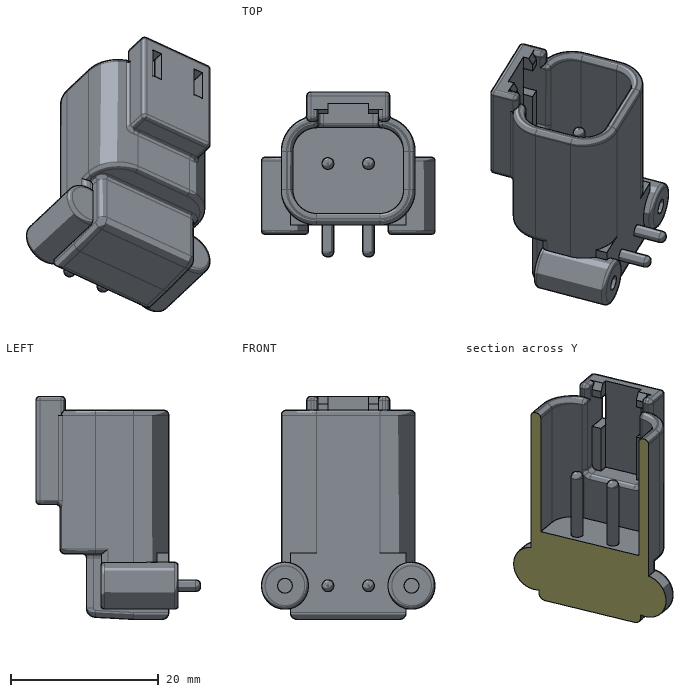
import cadquery as cq

EPS = 0.05
OVERLAP = 0.5

SHELL_WIDTH = 18.15
SHELL_DEPTH = 14.75
SHELL_RADIUS = 4.8
SHELL_TOP = 28.37
SHELL_BOTTOM = 8.9
WALL = 1.57
FLOOR_TOP = 10.5
RIM_RADIUS = 0.7
OVERHANG_RADIUS = 0.67
WEB_REAR = 9.15
WEB_RADIUS = 0.9

BASE_WIDTH = 15.7
BASE_DEPTH = 11.18
BASE_TOP = 9.0
BASE_RISE = 0.35
BASE_RADIUS = 0.95
BASE_REAR_RADIUS = 1.3
INNER_CORNER_RADIUS = 0.54

BOSS_DIAMETER = 6.37
BOSS_SPACING = 17.15
BOSS_FRONT = -1.27
BOSS_REAR = 9.2
BOSS_RADIUS = 0.5
BOSS_HOLE_DIAMETER = 2.0
BOSS_HOLE_DEPTH = 6.0
AXIS_HEIGHT = 4.58

PIN_DIAMETER = 1.6
PIN_PITCH = 5.5
PIN_TIP_RADIUS = 0.7
PIN_Y = 8.33
PIN_TIP_Y = -4.32
PIN_TOP = 20.0

HOOD_WIDTH = 11.27
HOOD_FRONT = 14.03
HOOD_REAR = 18.03
HOOD_TOP = 30.24
HOOD_BOTTOM = 15.58
HOOD_RADIUS = 0.58
HOOD_FOOT_RADIUS = 0.55
POCKET_WIDTH = 8.14
POCKET_FLOOR = HOOD_BOTTOM + WALL
POCKET_RADIUS = 0.69
MOUTH_RADIUS = 0.58
LEDGE_FRONT = 15.1
NOTCH_WIDTH = 5.44
NOTCH_REAR = 16.45
HOOK_REAR = 15.67
HOOK_SLOPE_HEIGHT = 1.03
WINDOW_BOTTOM = 23.6
WINDOW_TOP = 28.2

SHELL_MID_Y = SHELL_DEPTH / 2


def box(x_min, x_max, y_min, y_max, z_min, z_max):
    size = (x_max - x_min, y_max - y_min, z_max - z_min)
    return cq.Workplane("XY").box(*size, centered=False).translate((x_min, y_min, z_min))


def centred_box(width, y_min, y_max, z_min, z_max):
    return box(-width / 2, width / 2, y_min, y_max, z_min, z_max)


def rounded_prism(inset, z_min, z_max):
    """Upright prism with the shell outline moved inwards by inset."""
    return (
        cq.Workplane("XY", origin=(0, SHELL_MID_Y, z_min))
        .rect(SHELL_WIDTH - 2 * inset, SHELL_DEPTH - 2 * inset)
        .extrude(z_max - z_min)
        .edges("|Z")
        .fillet(SHELL_RADIUS - inset)
    )


def edges_within(x_min, x_max, y_min, y_max, z_min, z_max):
    """Selector for edges whose centre lies inside the given box."""
    return cq.selectors.BoxSelector((x_min, y_min, z_min), (x_max, y_max, z_max))


def make_shell():
    """Outer receptacle body, still solid, with its sides carried down to the bosses."""
    shell = rounded_prism(0, AXIS_HEIGHT, SHELL_TOP)
    shell = shell.cut(centred_box(2 * SHELL_WIDTH, WEB_REAR, 2 * SHELL_DEPTH, 0, SHELL_BOTTOM))
    web_corners = edges_within(
        -SHELL_WIDTH, SHELL_WIDTH, WEB_REAR - EPS, WEB_REAR + EPS, AXIS_HEIGHT, SHELL_BOTTOM
    )
    shell = shell.edges(web_corners).edges("|Z").fillet(WEB_RADIUS)
    overhang_rim = edges_within(
        -SHELL_WIDTH, SHELL_WIDTH, WEB_REAR + EPS, 2 * SHELL_DEPTH, SHELL_BOTTOM - EPS, SHELL_BOTTOM + EPS
    )
    return shell.edges(overhang_rim).fillet(OVERHANG_RADIUS)


def hollow_shell(shell):
    """Cut the receptacle cavity and round both edges of its rim."""
    shell = shell.cut(rounded_prism(WALL, FLOOR_TOP, SHELL_TOP))
    return shell.faces(">Z").edges().fillet(RIM_RADIUS)


def make_base():
    """Block under the shell, with a sloping underside and rounded rear and lower edges."""
    base = (
        cq.Workplane("YZ", origin=(-BASE_WIDTH / 2, 0, 0))
        .moveTo(0, 0)
        .lineTo(SHELL_RADIUS, 0)
        .lineTo(BASE_DEPTH, BASE_RISE)
        .lineTo(BASE_DEPTH, BASE_TOP)
        .lineTo(0, BASE_TOP)
        .close()
        .extrude(BASE_WIDTH)
    )
    rear_corner = cq.selectors.NearestToPointSelector((0, BASE_DEPTH, BASE_RISE))
    base = base.edges(rear_corner).fillet(BASE_REAR_RADIUS)
    return base.faces("<Z or >Y").edges("not(>Z)").fillet(BASE_RADIUS)


def round_inner_corner(body):
    """Blend the rear of the base into the overhanging shell."""
    corner = edges_within(
        -EPS, EPS, BASE_DEPTH - EPS, BASE_DEPTH + EPS, SHELL_BOTTOM - EPS, SHELL_BOTTOM + EPS
    )
    return body.edges(corner).fillet(INNER_CORNER_RADIUS)


def add_lower_hood(body):
    """Add the part of the hood below the shell rim and blend its foot into the shell."""
    seam_height = SHELL_TOP - RIM_RADIUS
    hood = centred_box(HOOD_WIDTH, HOOD_FRONT, HOOD_REAR, HOOD_BOTTOM, seam_height)
    hood = hood.edges("(|Z and >Y) or (<Z and >Y) or (<Z and |Y)").fillet(HOOD_RADIUS)
    body = body.union(hood)
    reach = HOOD_WIDTH / 2 + EPS
    foot = edges_within(
        -reach, reach, HOOD_FRONT, SHELL_DEPTH + EPS, HOOD_BOTTOM - EPS, seam_height - EPS
    )
    return body.edges(foot).fillet(HOOD_FOOT_RADIUS)


def make_upper_hood():
    """Part of the hood that stands above the shell rim, with all outer edges rounded."""
    hood = centred_box(HOOD_WIDTH, HOOD_FRONT, HOOD_REAR, SHELL_TOP - RIM_RADIUS, HOOD_TOP)
    return hood.edges("|Z or >Z").fillet(HOOD_RADIUS)


def add_latch_channel(body):
    """Cut the latch channel forwards through the shell wall and round the edges of its mouth."""
    half_width = POCKET_WIDTH / 2
    channel = centred_box(POCKET_WIDTH, SHELL_MID_Y, HOOK_REAR, POCKET_FLOOR, HOOD_TOP)
    channel = channel.edges("<Z and |Y").fillet(POCKET_RADIUS)
    body = body.cut(channel)

    cavity_rear = SHELL_DEPTH - WALL
    shell_mouth = edges_within(
        -half_width - EPS,
        half_width + EPS,
        cavity_rear - EPS,
        cavity_rear + EPS,
        POCKET_FLOOR - EPS,
        SHELL_TOP,
    )
    mouth_edges = body.edges(shell_mouth).vals()
    for x in (-half_width, half_width):
        upper_mouth = edges_within(
            x - EPS, x + EPS, cavity_rear + EPS, HOOK_REAR - EPS, SHELL_TOP - RIM_RADIUS, HOOD_TOP + EPS
        )
        mouth_edges += body.edges(upper_mouth).vals()
    return body.newObject(mouth_edges).fillet(MOUTH_RADIUS)


def add_latch_details(body):
    """Deepen the channel with a notch, then add ledges, hooks and the windows between them."""
    body = body.cut(centred_box(NOTCH_WIDTH, SHELL_MID_Y, NOTCH_REAR, POCKET_FLOOR, HOOD_TOP))
    step_width = (POCKET_WIDTH - NOTCH_WIDTH) / 2
    for x in (-POCKET_WIDTH / 2, NOTCH_WIDTH / 2):
        window = box(x, x + step_width, LEDGE_FRONT, HOOD_REAR + OVERLAP, WINDOW_BOTTOM, WINDOW_TOP)
        ledge = box(x, x + step_width, LEDGE_FRONT, HOOK_REAR, HOOD_BOTTOM, WINDOW_BOTTOM)
        hook = (
            cq.Workplane("YZ", origin=(x, 0, 0))
            .moveTo(LEDGE_FRONT, WINDOW_TOP)
            .lineTo(LEDGE_FRONT, HOOD_TOP - HOOK_SLOPE_HEIGHT)
            .lineTo(HOOK_REAR, HOOD_TOP)
            .lineTo(HOOK_REAR, WINDOW_TOP)
            .close()
            .extrude(step_width)
        )
        body = body.cut(window).union(ledge).union(hook)
    return body


def make_boss(x):
    """Mounting boss along Y with both ends rounded."""
    boss = (
        cq.Workplane("XZ", origin=(x, BOSS_FRONT, AXIS_HEIGHT))
        .circle(BOSS_DIAMETER / 2)
        .extrude(BOSS_FRONT - BOSS_REAR)
    )
    return boss.edges().fillet(BOSS_RADIUS)


def make_boss_hole(x):
    """Blind screw hole in the front of a boss."""
    return (
        cq.Workplane("XZ", origin=(x, BOSS_FRONT, AXIS_HEIGHT))
        .circle(BOSS_HOLE_DIAMETER / 2)
        .extrude(-BOSS_HOLE_DEPTH)
    )


def make_pin(x):
    """Bent contact with rounded tips at the front and in the cavity."""
    front = (
        cq.Workplane("XZ", origin=(x, PIN_TIP_Y, AXIS_HEIGHT))
        .circle(PIN_DIAMETER / 2)
        .extrude(PIN_TIP_Y - PIN_Y)
        .edges("<Y")
        .fillet(PIN_TIP_RADIUS)
    )
    upright = (
        cq.Workplane("XY", origin=(x, PIN_Y, AXIS_HEIGHT))
        .circle(PIN_DIAMETER / 2)
        .extrude(PIN_TOP - AXIS_HEIGHT)
        .edges(">Z")
        .fillet(PIN_TIP_RADIUS)
    )
    return front.union(upright)


result = hollow_shell(make_shell()).union(make_base())
result = round_inner_corner(result)
result = add_lower_hood(result).union(make_upper_hood())
result = add_latch_details(add_latch_channel(result))

for side in (-1, 1):
    boss_x = side * BOSS_SPACING / 2
    result = result.union(make_boss(boss_x)).cut(make_boss_hole(boss_x))
    result = result.union(make_pin(side * PIN_PITCH / 2))